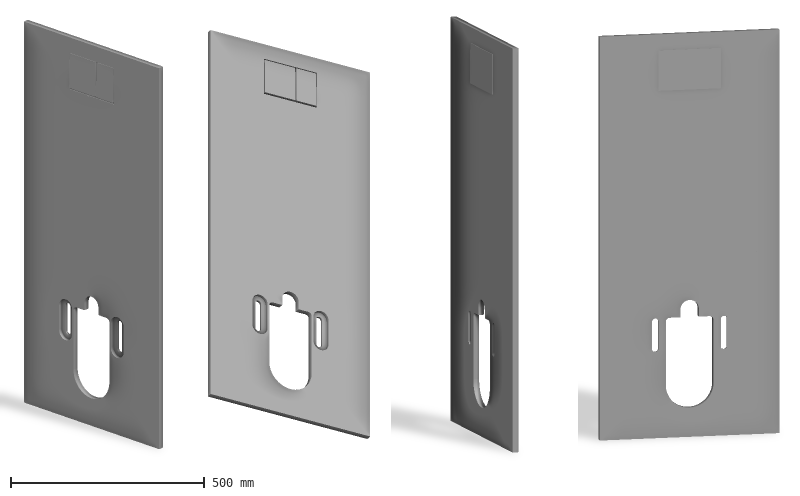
import cadquery as cq

width = 475.0
height = 1060.0
thickness = 16.0
split_z = 480.0
edge_chamfer = 1.0
front_y = -thickness / 2
back_y = thickness / 2

opening_width = 126.0
opening_bottom = 76.0
opening_top = 315.0
opening_corner_radius = 11.0
neck_width = 49.0
neck_top = 359.0

slot_spacing = 181.0
slot_z = 270.0
slot_length = 88.0
slot_width = 17.0
recess_length = 113.0
recess_width = 46.0
recess_depth = 10.0
upright = 90

frame_width = 165.0
frame_bottom = 913.0
frame_top = 1019.0
side_wall = 4.0
top_wall = 1.0
bottom_wall = 3.0
button_clearance = 2.0
button_bottom_clearance = 4.0
pocket_depth = 11.0
projection = 1.8
frame_back_taper = 0.4
button_taper = 2.6
gap_x = 16.0
gap_width = 3.0


def box(x_range, y_range, z_range):
    """Box spanning the given (low, high) range along each axis."""
    (x0, x1), (y0, y1), (z0, z1) = x_range, y_range, z_range
    return cq.Workplane("XY").box(x1 - x0, y1 - y0, z1 - z0, centered=False).translate((x0, y0, z0))


def side_profile(points, x_range):
    """Solid from a closed (y, z) outline, drawn out along X."""
    x0, x1 = x_range
    return cq.Workplane("YZ", origin=(x0, 0, 0)).polyline(points).close().extrude(x1 - x0)


def front_face(x, z):
    """Work plane on the panel front at (x, z); a negative extrusion goes into the panel."""
    return cq.Workplane("XZ", origin=(x, front_y, z))


def panel(z_range):
    """Slab with its upright edges lightly chamfered."""
    slab = box((-width / 2, width / 2), (front_y, back_y), z_range)
    return slab.edges("|Z").chamfer(edge_chamfer)


def opening_cutter():
    end_radius = opening_width / 2
    end_z = opening_bottom + end_radius
    body_height = opening_top - end_z
    body = front_face(0, end_z + body_height / 2).rect(opening_width, body_height).extrude(-thickness)
    body = body.edges("|Y and >Z").fillet(opening_corner_radius)
    round_end = front_face(0, end_z).circle(end_radius).extrude(-thickness)
    neck_length = neck_top - end_z
    neck = front_face(0, end_z + neck_length / 2).slot2D(neck_length, neck_width, upright).extrude(-thickness)
    return body.union(round_end).union(neck)


def slot_cutter(x):
    slot = front_face(x, slot_z).slot2D(slot_length, slot_width, upright).extrude(-thickness)
    recess = front_face(x, slot_z).slot2D(recess_length, recess_width, upright).extrude(-recess_depth)
    return slot.union(recess)


lower_panel = panel((0, split_z)).cut(opening_cutter())
for side in (-1, 1):
    lower_panel = lower_panel.cut(slot_cutter(side * slot_spacing / 2))

frame_x = (-frame_width / 2, frame_width / 2)
frame_z = (frame_bottom, frame_top)
upper_panel = panel((split_z, height)).cut(box(frame_x, (front_y, back_y), frame_z))

frame_back_bottom = back_y + projection
pocket_y = front_y + pocket_depth
pocket_x = (frame_x[0] + side_wall, frame_x[1] - side_wall)
pocket_z = (frame_bottom + bottom_wall, frame_top - top_wall)
frame_outline = [
    (front_y, frame_bottom),
    (frame_back_bottom, frame_bottom),
    (frame_back_bottom - frame_back_taper, frame_top),
    (front_y, frame_top),
]
frame = side_profile(frame_outline, frame_x).cut(box(pocket_x, (front_y, pocket_y), pocket_z))


def button(x_range):
    """Button whose front leans out towards the bottom; it rests on the pocket floor."""
    bottom = pocket_z[0] + button_bottom_clearance
    top = pocket_z[1] - button_clearance
    nose_y = front_y - projection
    outline = [(nose_y, bottom), (pocket_y, bottom), (pocket_y, top), (nose_y + button_taper, top)]
    return side_profile(outline, x_range)


button_ranges = [
    (pocket_x[0] + button_clearance, gap_x - gap_width / 2),
    (gap_x + gap_width / 2, pocket_x[1] - button_clearance),
]
buttons = [button(x_range) for x_range in button_ranges]

result = cq.Compound.makeCompound(
    [lower_panel.val(), upper_panel.val(), frame.val()] + [each.val() for each in buttons]
)